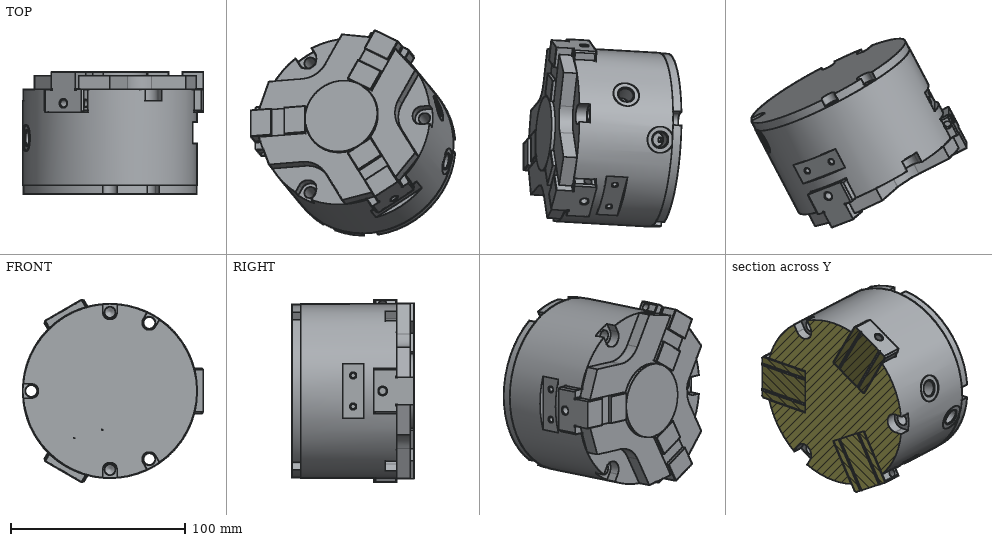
import cadquery as cq
import math


cover_thickness = 5.0
barrel_length = 54.9
guide_thickness = 8.0
hub_thickness = 2.1
barrel_end = cover_thickness + barrel_length
guide_end = barrel_end + guide_thickness
total_length = guide_end + hub_thickness

barrel_radius = 50.0
cover_radius = 49.8
hub_radius = 21.4

cutter_start = barrel_radius + 1.0

jaw_pitch = 120
jaw_angles = (0, jaw_pitch, 2 * jaw_pitch)
between_angles = tuple(angle + jaw_pitch / 2 for angle in jaw_angles)
jaw_gap = 0.1
jaw_inner = hub_radius + jaw_gap
jaw_outer = 53.5
neck_width = 16.0
head_width = 26.2
head_length = 13.0
head_chamfer = 1.0
edge_break = 0.3
relief_radius = 0.5
key_groove_inner = 33.7
key_groove_width = 7.8
head_end = barrel_end
head_start = head_end - head_length
jaw_hole_setback = 5.0
jaw_hole_y = head_start + jaw_hole_setback
jaw_hole_diameter = 4.4
jaw_hole_depth = 14.7
jaw_hole_chamfer = 0.4
side_hole_radial = 50.2
side_hole_depth = 6.3

guide_half_width = 25.0
guide_corner_fillet = 15.8

bolt_circle_radius = 45.1
cover_slot_width = 8.2
through_hole_diameter = 6.7
rear_slot_width = 10.9
rear_slot_depth = 6.4
blind_hole_angles = (90, 270)
blind_hole_diameter = 6.3
blind_hole_depth = 12.6
drill_point_angle = 118

ports = ((165, 32.1, 2.6), (195, 12.1, -2.6))
spotface_diameter = 15.1
spotface_depth = 0.6
port_diameter = 8.7
port_depth = 11.8
port_chamfer = 0.5
passage_diameter = 2.7
passage_depth = 5.2

flat_angles = (0, 240)
flat_radius = 47.5
flat_start = 29.0
flat_width = 12.2
flat_hole_spacing = 17.8
flat_hole_diameter = 2.9
flat_hole_depth = 6.3
flat_hole_chamfer = 0.4


def turned(shape, angle):
    """Turn a shape about the Y axis, from +X toward +Z."""
    return shape.rotate((0, 0, 0), (0, -1, 0), angle)


def polar(radial, tangential, angle):
    """XZ coordinates of a point given in the frame of a turned radius."""
    a = math.radians(angle)
    return (
        radial * math.cos(a) - tangential * math.sin(a),
        radial * math.sin(a) + tangential * math.cos(a),
    )


def axial_cylinder(radius, y_start, y_end, radial=0.0):
    """Cylinder parallel to Y whose axis crosses +X at the given radius."""
    plane = cq.Workplane("XZ", origin=(radial, y_start, 0))
    return plane.circle(radius).extrude(y_start - y_end)


def block(x_start, x_end, y_start, y_end, width):
    """Box between two radii and two axial positions, centred on z = 0."""
    return (
        cq.Workplane("XY", origin=(x_start, y_start, 0))
        .box(x_end - x_start, y_end - y_start, width, centered=(False, False, True))
    )


def radial_hole(diameter, depth, surface, y, chamfer=0.0, z=0.0):
    """Cutter for a flat-bottomed hole drilled inward from x = surface, with an optional chamfered mouth."""
    radius = diameter / 2
    plane = cq.Plane(origin=(surface, y, z), xDir=(0, 1, 0), normal=(0, 0, 1))
    cutter = (
        cq.Workplane(plane)
        .polyline([(0, 0), (radius, 0), (radius, depth), (0, depth)])
        .close()
        .revolve(360, (0, 0, 0), (0, 1, 0))
    )
    if chamfer > 0:
        cone = (
            cq.Workplane(plane)
            .polyline([(0, 0), (radius + chamfer, 0), (radius, chamfer), (0, chamfer)])
            .close()
            .revolve(360, (0, 0, 0), (0, 1, 0))
        )
        cutter = cutter.union(cone)
    return cutter


def open_slot(width, y_start, y_end):
    """Cutter for a round-ended slot that opens through the rim at the bolt circle."""
    round_end = axial_cylinder(width / 2, y_start, y_end, bolt_circle_radius)
    mouth = block(bolt_circle_radius, cutter_start, y_start, y_end, width)
    return round_end.union(mouth)


def guide_plate():
    """Three guide blocks with slanted outer faces, joined by concave fillets."""
    corner_radial = math.sqrt(barrel_radius**2 - guide_half_width**2)
    slot_radial = math.sqrt(barrel_radius**2 - (neck_width / 2) ** 2)
    half_corner = math.radians(jaw_pitch / 2)
    fillet_radial = (guide_half_width + guide_corner_fillet) / math.tan(half_corner)
    fillet_middle = (guide_half_width + guide_corner_fillet) / math.sin(half_corner) - guide_corner_fillet
    outline = cq.Workplane("XZ", origin=(0, barrel_end, 0)).moveTo(
        *polar(corner_radial, -guide_half_width, jaw_angles[0])
    )
    for angle in jaw_angles:
        next_angle = angle + jaw_pitch
        outline = (
            outline.lineTo(*polar(slot_radial, -neck_width / 2, angle))
            .lineTo(*polar(slot_radial, neck_width / 2, angle))
            .lineTo(*polar(corner_radial, guide_half_width, angle))
            .lineTo(*polar(fillet_radial, guide_half_width, angle))
            .threePointArc(
                polar(fillet_middle, 0, angle + jaw_pitch / 2),
                polar(fillet_radial, -guide_half_width, next_angle),
            )
            .lineTo(*polar(corner_radial, -guide_half_width, next_angle))
        )
    return outline.close().extrude(-guide_thickness)


def jaw_slot():
    """Cutter for the T-slot that one jaw fills."""
    neck = block(jaw_inner, jaw_outer, head_end, total_length, neck_width)
    head = block(jaw_inner, jaw_outer, head_start, head_end, head_width)
    return neck.union(head)


def blind_hole():
    """Cutter for a drilled axial hole with a conical bottom, entered from the cover slot."""
    radius = blind_hole_diameter / 2
    point_length = radius / math.tan(math.radians(drill_point_angle / 2))
    bottom = cover_thickness + blind_hole_depth
    return (
        cq.Workplane("XY", origin=(bolt_circle_radius, 0, 0))
        .polyline([(0, 0), (radius, 0), (radius, bottom), (0, bottom + point_length)])
        .close()
        .revolve(360, (0, 0, 0), (0, 1, 0))
    )


def air_port(y, passage_offset):
    """Cutter for a spotfaced port with a small passage in its floor."""
    seat = barrel_radius - spotface_depth
    floor = seat - port_depth
    spotface = radial_hole(spotface_diameter, cutter_start - seat, cutter_start, y)
    bore = radial_hole(port_diameter, port_depth, seat, y, port_chamfer)
    passage = radial_hole(passage_diameter, passage_depth, floor, y + passage_offset)
    return spotface.union(bore).union(passage)


def sensor_flat():
    """Cutter for a flat across the barrel with two small holes."""
    flat_end = flat_start + flat_width
    cutter = block(flat_radius, cutter_start, flat_start, flat_end, 2 * barrel_radius)
    for side in (-1, 1):
        cutter = cutter.union(
            radial_hole(
                flat_hole_diameter,
                flat_hole_depth,
                flat_radius,
                flat_start + flat_width / 2,
                flat_hole_chamfer,
                side * flat_hole_spacing / 2,
            )
        )
    return cutter


def make_housing():
    body = axial_cylinder(barrel_radius, cover_thickness, barrel_end)
    for angle, y, offset in ports:
        body = body.cut(turned(air_port(y, offset), angle))
    body = body.union(axial_cylinder(cover_radius, 0, cover_thickness))
    body = body.union(guide_plate())
    body = body.union(axial_cylinder(hub_radius, guide_end, total_length))
    for angle in jaw_angles:
        body = body.cut(turned(jaw_slot(), angle))
    for angle in between_angles:
        body = body.cut(turned(open_slot(cover_slot_width, 0, cover_thickness), angle))
        bolt_hole = axial_cylinder(through_hole_diameter / 2, 0, barrel_end, bolt_circle_radius)
        body = body.cut(turned(bolt_hole, angle))
        body = body.cut(turned(open_slot(rear_slot_width, barrel_end - rear_slot_depth, barrel_end), angle))
    for angle in blind_hole_angles:
        body = body.cut(turned(open_slot(cover_slot_width, 0, cover_thickness), angle))
        body = body.cut(turned(blind_hole(), angle))
    for angle in flat_angles:
        body = body.cut(turned(sensor_flat(), angle))
    return body


def make_jaw(angle):
    """T-shaped jaw with a key groove across its neck and a radial and a side hole in its head."""
    head = block(jaw_inner, jaw_outer, head_start, head_end, head_width)
    head = head.faces("<Z or >Z").edges(">X or <Y").chamfer(head_chamfer)
    head = head.faces("<Z or >Z").edges(">Y").chamfer(edge_break)
    neck = block(jaw_inner, jaw_outer, head_end, total_length, neck_width)
    neck = neck.faces(">Y").edges("<Z or >Z").chamfer(edge_break)
    jaw = head.union(neck)
    for side in (-1, 1):
        relief = (
            cq.Workplane("YZ", origin=(jaw_inner, head_end, side * neck_width / 2))
            .circle(relief_radius)
            .extrude(jaw_outer - jaw_inner)
        )
        jaw = jaw.cut(relief)
    key_groove_outer = key_groove_inner + key_groove_width
    jaw = jaw.cut(block(key_groove_inner, key_groove_outer, guide_end, total_length, head_width))
    jaw = jaw.cut(radial_hole(jaw_hole_diameter, jaw_hole_depth, jaw_outer, jaw_hole_y, jaw_hole_chamfer))
    side_hole = (
        cq.Workplane("XY", origin=(side_hole_radial, jaw_hole_y, -head_width / 2))
        .circle(jaw_hole_diameter / 2)
        .extrude(side_hole_depth)
    )
    return turned(jaw.cut(side_hole), angle)


housing = make_housing()
jaws = [make_jaw(angle) for angle in jaw_angles]

result = cq.Compound.makeCompound([housing.val(), *[jaw.val() for jaw in jaws]])